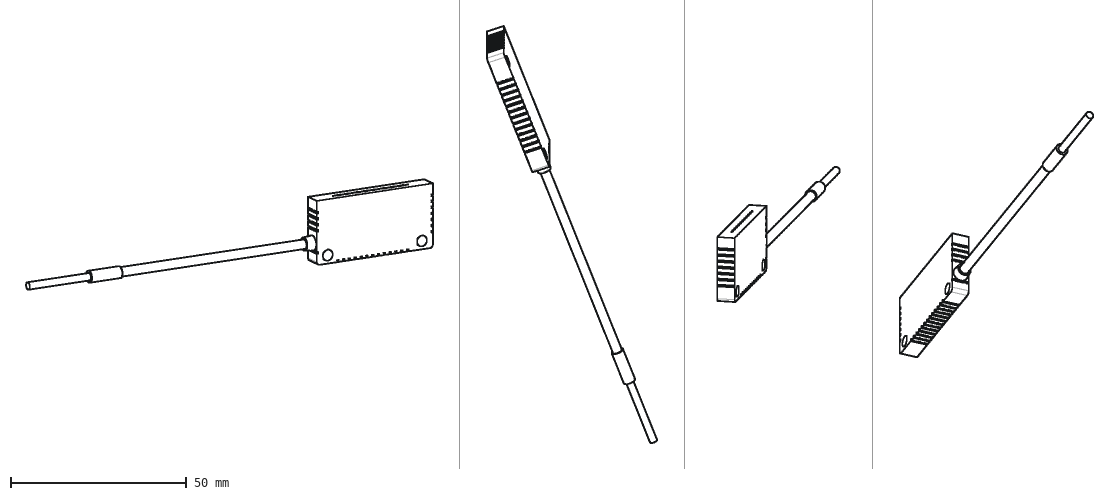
import cadquery as cq

body_width = 5.1
body_length = 38.0
body_height = 19.0
bottom_corner_radius = 1.0

hole_diameter = 3.2
hole_end_distance = 3.6
hole_height = 2.5

groove_width = 0.5
end_groove_depth = 0.4
end_groove_pitch = 1.79
first_groove_drop = 3.5
far_groove_count = 7
cable_groove_count = 4
lower_groove_height = 3.6
bottom_groove_depth = 0.6
bottom_groove_pitch = 1.9
bottom_groove_count = 13
bottom_groove_middle = 18.35

aperture_count = 32
aperture_pitch = 0.79
aperture_diameter = 0.25
aperture_depth = 0.25

cable_height = 6.0
boot_base_diameter = 4.4
boot_tip_diameter = 3.9
boot_length = 2.7
cable_diameter = 2.8
sleeve_diameter = 3.5
sleeve_start = 63.0
sleeve_length = 10.0
tail_diameter = 2.2
tail_length = 20.0


def make_body():
    block = cq.Workplane("XY").box(
        body_width, body_length, body_height, centered=(True, False, False)
    )
    return block.faces("<Z").edges("|X").fillet(bottom_corner_radius)


def cross_groove(y_center, z_center, y_size, z_size):
    """Cutter running across the full thickness of the housing."""
    return cq.Workplane("XY").box(body_width, y_size, z_size).translate((0, y_center, z_center))


def end_groove(y_face, z_center):
    return cross_groove(y_face, z_center, 2 * end_groove_depth, groove_width)


def cut_grooves(body):
    first_height = body_height - first_groove_drop
    for y_face, groove_count in ((body_length, far_groove_count), (0, cable_groove_count)):
        for index in range(groove_count):
            body = body.cut(end_groove(y_face, first_height - index * end_groove_pitch))
    body = body.cut(end_groove(0, lower_groove_height))
    first_bottom_groove = bottom_groove_middle - (bottom_groove_count - 1) * bottom_groove_pitch / 2
    for index in range(bottom_groove_count):
        y_center = first_bottom_groove + index * bottom_groove_pitch
        body = body.cut(cross_groove(y_center, 0, groove_width, 2 * bottom_groove_depth))
    return body


def cut_mounting_holes(body):
    for y_center in (hole_end_distance, body_length - hole_end_distance):
        hole = (
            cq.Workplane("YZ")
            .center(y_center, hole_height)
            .circle(hole_diameter / 2)
            .extrude(body_width, both=True)
        )
        body = body.cut(hole)
    return body


def cut_apertures(body):
    apertures = (
        cq.Workplane("XY", origin=(0, body_length / 2, body_height))
        .rarray(1, aperture_pitch, 1, aperture_count)
        .circle(aperture_diameter / 2)
        .extrude(-aperture_depth)
    )
    return body.cut(apertures)


def make_cable():
    """Boot, cable, sleeve and tail as one turned profile of (radius, y) points."""
    sleeve_end = sleeve_start + sleeve_length
    tail_end = sleeve_end + tail_length
    profile = [
        (0, 0),
        (boot_base_diameter / 2, 0),
        (boot_tip_diameter / 2, -boot_length),
        (cable_diameter / 2, -boot_length),
        (cable_diameter / 2, -sleeve_start),
        (sleeve_diameter / 2, -sleeve_start),
        (sleeve_diameter / 2, -sleeve_end),
        (tail_diameter / 2, -sleeve_end),
        (tail_diameter / 2, -tail_end),
        (0, -tail_end),
    ]
    turned = cq.Workplane("XY").polyline(profile).close().revolve(360, (0, 0, 0), (0, 1, 0))
    return turned.translate((0, 0, cable_height))


housing = cut_apertures(cut_mounting_holes(cut_grooves(make_body())))
result = housing.union(make_cable())